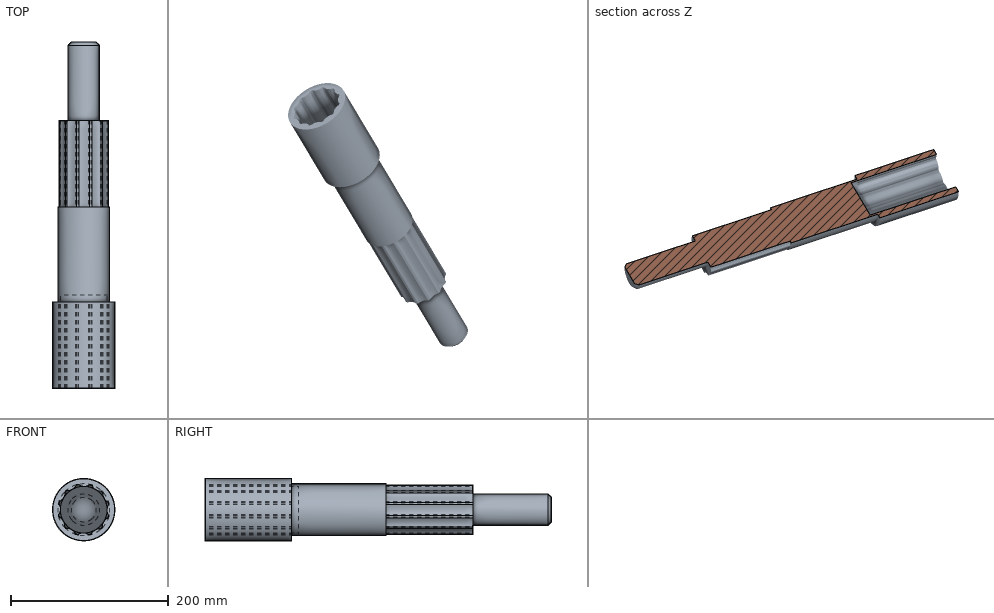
import cadquery as cq
import math

total_length = 440.0
socket_length = 110.0
body_length = 120.0
spline_length = 110.0

socket_diameter = 79.0
body_diameter = 66.0
pilot_diameter = 40.0
pilot_chamfer = 4.5

tooth_count = 12
tooth_tip_radius = 32.0
groove_tip_radius = 32.5
spline_valley_radius = 29.5
tooth_tip_width = 3.0
tooth_start_angle = 14.0

bore_diameter = 59.5
bore_overrun = 9.0

body_end = socket_length + body_length
spline_end = body_end + spline_length
pilot_length = total_length - spline_end


def cylinder(diameter, start, length):
    """Solid cylinder along +Y beginning at the given station."""
    plane = cq.Workplane("XZ", origin=(0, start, 0))
    return plane.circle(diameter / 2).extrude(-length)


def point_at(radius, angle):
    """Cross-section point at a distance and angle from the axis."""
    return (radius * math.cos(angle), radius * math.sin(angle))


def splined_bar(start, length, tip_radius):
    """Bar with narrow teeth separated by scooped valleys."""
    pitch = 2 * math.pi / tooth_count
    half_tip = math.asin(tooth_tip_width / 2 / tip_radius)
    first_angle = math.radians(tooth_start_angle)
    outline = cq.Workplane("XZ", origin=(0, start, 0))
    outline = outline.moveTo(*point_at(tip_radius, first_angle - half_tip))
    for tooth in range(tooth_count):
        angle = first_angle + tooth * pitch
        outline = outline.threePointArc(
            point_at(tip_radius, angle),
            point_at(tip_radius, angle + half_tip),
        )
        outline = outline.threePointArc(
            point_at(spline_valley_radius, angle + pitch / 2),
            point_at(tip_radius, angle + pitch - half_tip),
        )
    return outline.close().extrude(-length)


socket = cylinder(socket_diameter, 0, socket_length)
body = cylinder(body_diameter, socket_length, body_length)
spline = splined_bar(body_end, spline_length, tooth_tip_radius)
pilot = cylinder(pilot_diameter, spline_end, pilot_length)
pilot = pilot.faces(">Y").chamfer(pilot_chamfer)
shaft = socket.union(body).union(spline).union(pilot)

socket_grooves = splined_bar(0, spline_length, groove_tip_radius)
socket_bore = cylinder(bore_diameter, 0, spline_length + bore_overrun)
result = shaft.cut(socket_grooves).cut(socket_bore)